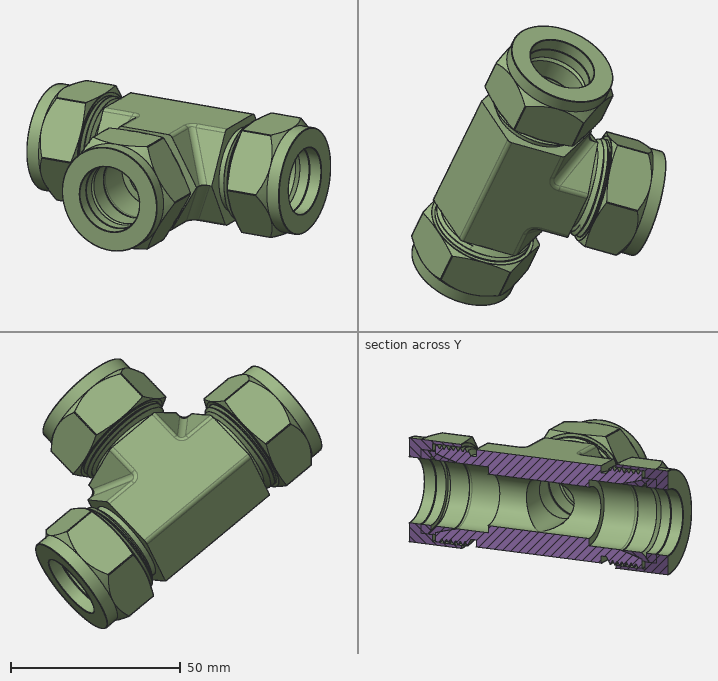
import cadquery as cq
import math


arm_length = 42.6
tube_bore_radius = 10.05
edge_break = 0.2

block_across_flats = 30.0
block_half_length = 20.6
edge_fillet = 1.5
upper_crease_fillet = 2.0
lower_crease_fillet = 3.1
flow_bore_radius = 7.8
tube_stop = 16.6
body_end = 34.1
mouth_bottom = 26.8
mouth_radius = 12.1

neck_radius = 12.9
neck_end = 22.2
lead_angle = 30
thread_radius = 15.0
thread_root_radius = 13.8
thread_pitch = 1.5
thread_crest_flat = 0.2
groove_start = 22.3
groove_turns = 7
groove_overrun = 0.1

nut_across_flats = 32.0
nut_corner_radius = 18.4
collar_radius = nut_across_flats / 2
nut_inner_end = 25.3
inner_chamfer_start = 25.5
inner_chamfer_end = 26.3
outer_chamfer_start = 36.1
outer_chamfer_end = outer_chamfer_start + nut_corner_radius - collar_radius
nut_thread_end = 34.9
nut_shoulder = 38.6

ferrule_flange_radius = 12.8
front_ferrule_tip = 27.7
front_ferrule_back = 36.3
front_ferrule_cone_bottom = 33.9
back_ferrule_tip = 35.4

run_angle = 0
branch_angle = 270
arm_angles = (run_angle, run_angle + 180, branch_angle)


def arm_plane(angle):
    """Plane at the tee centre whose normal runs out along an arm."""
    a = math.radians(angle)
    outward = (math.cos(a), math.sin(a), 0)
    sideways = (math.sin(a), -math.cos(a), 0)
    return cq.Plane(origin=(0, 0, 0), xDir=sideways, normal=outward)


def on_arm(part, angle):
    """Move a solid built along +Z onto an arm."""
    return part.solids().val().moved(cq.Location(arm_plane(angle)))


def turned(points):
    """Solid of revolution about Z from (radius, distance) points."""
    return cq.Workplane("XZ").polyline(points).close().revolve(360, (0, 0, 0), (0, 1, 0))


def hexagon(across_flats, start, end):
    """Hexagonal prism along Z with two corners on the local X axis."""
    corner_diameter = across_flats / math.cos(math.pi / 6)
    return cq.Workplane("XY").workplane(offset=start).polygon(6, corner_diameter).extrude(end - start)


def thread_groove():
    """Helical V groove that leaves the thread ridges standing."""
    depth = thread_radius - thread_root_radius
    half_width = (thread_pitch - thread_crest_flat) / 2
    outer_half_width = half_width * (depth + groove_overrun) / depth
    outer_radius = thread_radius + groove_overrun
    helix = cq.Wire.makeHelix(
        thread_pitch,
        thread_pitch * groove_turns,
        thread_root_radius,
        center=cq.Vector(0, 0, groove_start),
    )
    profile = [
        (thread_root_radius, groove_start),
        (outer_radius, groove_start + outer_half_width),
        (outer_radius, groove_start - outer_half_width),
    ]
    return cq.Workplane("XZ").polyline(profile).close().sweep(cq.Workplane(helix), isFrenet=True)


def threaded_end():
    """Neck, steep conical lead and male thread, starting inside the block."""
    rod = cq.Workplane("XY").workplane(offset=tube_stop).circle(thread_radius).extrude(body_end - tube_stop)
    lead_rise = thread_radius + groove_overrun - neck_radius
    lead_run = lead_rise * math.tan(math.radians(lead_angle))
    neck_and_lead = turned([
        (neck_radius, tube_stop),
        (neck_radius, neck_end),
        (neck_radius + lead_rise, neck_end + lead_run),
        (neck_radius + lead_rise, tube_stop),
    ])
    return rod.cut(thread_groove()).cut(neck_and_lead)


def arm_bore():
    """Flow bore, tube socket and the conical mouth that takes the front ferrule."""
    return turned([
        (0, 0),
        (flow_bore_radius, 0),
        (flow_bore_radius, tube_stop),
        (tube_bore_radius, tube_stop),
        (tube_bore_radius, mouth_bottom),
        (mouth_radius, body_end),
        (0, body_end),
    ])


def tee_block():
    """Hexagonal run and branch, with wider inner corner fillets below mid height than above."""
    run_prism = hexagon(block_across_flats, -block_half_length, block_half_length)
    branch_prism = hexagon(block_across_flats, 0, block_half_length)
    run = cq.Workplane(on_arm(run_prism, run_angle))
    branch = cq.Workplane(on_arm(branch_prism, branch_angle))
    block = run.union(branch)
    upper = block.copyWorkplane(cq.Workplane("XY")).split(keepTop=True)
    lower = block.copyWorkplane(cq.Workplane("XY")).split(keepBottom=True)

    upper = upper.edges("not(#X or #Y or #Z)").fillet(upper_crease_fillet)
    lower = lower.edges("not(#X or #Y or #Z)").fillet(lower_crease_fillet)
    flat_outlines = upper.union(lower).edges(">Z or <Z")
    return flat_outlines.edges("not(<X or >X or <Y)").fillet(edge_fillet)


def tee_body():
    """Block with three threaded ends, bored through along every arm."""
    body = tee_block()
    for angle in arm_angles:
        body = body.union(cq.Workplane(on_arm(threaded_end(), angle)))
    for angle in arm_angles:
        body = body.cut(cq.Workplane(on_arm(arm_bore(), angle)))
    return body


def nut():
    """Hexagon nut with chamfered ends, a round collar and a stepped bore."""
    chamfered_blank = turned([
        (0, inner_chamfer_start),
        (collar_radius, inner_chamfer_start),
        (nut_corner_radius, inner_chamfer_end),
        (nut_corner_radius, outer_chamfer_start),
        (collar_radius, outer_chamfer_end),
        (0, outer_chamfer_end),
    ])
    hex_part = hexagon(nut_across_flats, inner_chamfer_start, outer_chamfer_end).intersect(chamfered_blank)
    collar = turned([
        (0, nut_inner_end),
        (collar_radius, nut_inner_end),
        (collar_radius, arm_length - edge_break),
        (collar_radius - edge_break, arm_length),
        (0, arm_length),
    ])
    bore = turned([
        (0, nut_inner_end),
        (thread_radius, nut_inner_end),
        (thread_radius, nut_thread_end),
        (ferrule_flange_radius, nut_thread_end),
        (ferrule_flange_radius, nut_shoulder),
        (tube_bore_radius + edge_break, nut_shoulder),
        (tube_bore_radius, nut_shoulder + edge_break),
        (tube_bore_radius, arm_length - edge_break),
        (tube_bore_radius + edge_break, arm_length),
        (0, arm_length),
    ])
    return hex_part.union(collar).cut(bore)


def seat_radius(distance):
    """Radius of the 45 degree seat between the two ferrules."""
    return tube_bore_radius + distance - front_ferrule_cone_bottom


def front_ferrule():
    """Flanged ring whose long nose fills the mouth of the body."""
    mouth_slope = (mouth_radius - tube_bore_radius) / (body_end - mouth_bottom)
    tip_radius = tube_bore_radius + mouth_slope * (front_ferrule_tip - mouth_bottom)
    return turned([
        (tube_bore_radius, front_ferrule_tip),
        (tip_radius, front_ferrule_tip),
        (mouth_radius, body_end),
        (ferrule_flange_radius, body_end),
        (ferrule_flange_radius, front_ferrule_back),
        (seat_radius(front_ferrule_back), front_ferrule_back),
        (tube_bore_radius, front_ferrule_cone_bottom),
    ])


def back_ferrule():
    """Ring with a conical nose seated in the front ferrule."""
    return turned([
        (tube_bore_radius, back_ferrule_tip),
        (seat_radius(back_ferrule_tip), back_ferrule_tip),
        (seat_radius(front_ferrule_back), front_ferrule_back),
        (ferrule_flange_radius, front_ferrule_back),
        (ferrule_flange_radius, nut_shoulder),
        (tube_bore_radius + edge_break, nut_shoulder),
        (tube_bore_radius, nut_shoulder - edge_break),
    ])


body = tee_body()
nuts = [on_arm(nut(), angle) for angle in arm_angles]
front_ferrules = [on_arm(front_ferrule(), angle) for angle in arm_angles]
back_ferrules = [on_arm(back_ferrule(), angle) for angle in arm_angles]

result = cq.Compound.makeCompound([body.solids().val(), *nuts, *front_ferrules, *back_ferrules])